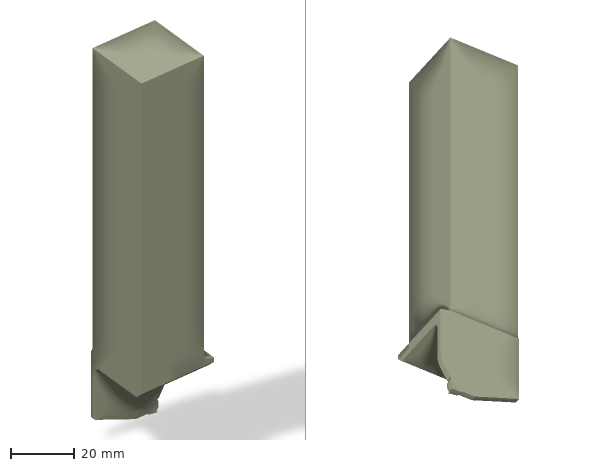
import cadquery as cq
import math

shank_size = 25.0
total_length = 150.0
shank_bottom = 28.0
shank_chamfer = 2.5

tip_overhang = 1.02
tip_flare = 0.25
blade_offset = tip_overhang - tip_flare
blade_thickness = 2.0
blade_inner_x = blade_thickness - blade_offset
root_fillet = 2.5
head_depth = 29.07
ramp_top = 35.0
ramp_radius = 2.5
shoulder_width = 0.9
shoulder_angle = math.radians(15)
nose_radius = 10.0
nose_angle = math.radians(30)
nose_arc_top = 13.8
blade_bottom = 0.9
flat_end_y = 16.4
blade_heel = 7.65

insert_lean = math.radians(18.5)
insert_top = 10.0
rake_corner = (25.05, 4.9)
lip_top = (25.45, 3.5)
lip_bottom = (25.45, 2.0)
groove_bottom = (24.55, 0.6)
cutting_edge = (25.0, 0.0)
relief_end = (21.5, 0.38)
flare_top = 3.0
rake_top_radius = 1.6
back_top_radius = 1.2


def ramp_drop(outward):
    """Height lost along the concave ramp after moving outward from the shank face."""
    return math.sqrt(ramp_radius**2 - (ramp_radius - outward) ** 2)


def ramp_point(face, direction, outward):
    """Point on the ramp arc, as (distance across, height)."""
    return (face + direction * outward, ramp_top - ramp_drop(outward))


def make_side_profile():
    """Outline of the holder across X and Z, run along Y."""
    outline = (
        cq.Workplane("XZ")
        .moveTo(0, total_length)
        .lineTo(0, ramp_top)
        .threePointArc(ramp_point(0, -1, blade_offset / 3), ramp_point(0, -1, blade_offset))
        .lineTo(-blade_offset, 0)
        .lineTo(blade_inner_x, 0)
        .lineTo(blade_inner_x, shank_bottom - root_fillet)
        .radiusArc((blade_inner_x + root_fillet, shank_bottom), root_fillet)
        .lineTo(shank_size - shank_chamfer, shank_bottom)
        .lineTo(shank_size, shank_bottom + shank_chamfer)
        .lineTo(shank_size, total_length)
        .close()
    )
    return outline.extrude(-head_depth)


def make_head_profile():
    """Outline of the holder across Y and Z, run along X."""
    shoulder_start = ramp_point(shank_size, 1, shoulder_width)
    shoulder_run = head_depth - shoulder_start[0]
    shoulder_end_z = shoulder_start[1] - shoulder_run * math.tan(shoulder_angle)

    def nose_point(angle):
        inset = nose_radius * (1 - math.cos(angle))
        return (head_depth - inset, nose_arc_top - nose_radius * math.sin(angle))

    nose_end = nose_point(nose_angle)
    nose_bottom_y = nose_end[0] - (nose_end[1] - blade_bottom) * math.tan(nose_angle)
    outline = (
        cq.Workplane("YZ")
        .moveTo(0, total_length)
        .lineTo(shank_size, total_length)
        .lineTo(shank_size, ramp_top)
        .threePointArc(ramp_point(shank_size, 1, shoulder_width / 3), shoulder_start)
        .lineTo(head_depth, shoulder_end_z)
        .lineTo(head_depth, nose_arc_top)
        .threePointArc(nose_point(nose_angle / 2), nose_end)
        .lineTo(nose_bottom_y, blade_bottom)
        .lineTo(flat_end_y, blade_bottom)
        .lineTo(0, blade_heel)
        .close()
    )
    return outline.extrude(shank_size + blade_offset).translate((-blade_offset, 0, 0))


def leaning_point(start, height):
    """Point at the given height on the leaning line through start."""
    return (start[0] - (height - start[1]) * math.tan(insert_lean), height)


def make_insert_body():
    """Part of the insert as thick as the blade, with its rake edge facing +Y."""
    rake_top = leaning_point(rake_corner, insert_top)
    back_top = leaning_point(relief_end, insert_top)
    rake_edge = [rake_corner, lip_top, lip_bottom, groove_bottom, cutting_edge]
    points = rake_edge + [relief_end, back_top, rake_top]
    body = cq.Workplane("YZ").polyline(points).close().extrude(blade_thickness)

    def top_edge(y):
        return cq.selectors.NearestToPointSelector((blade_thickness / 2, y, insert_top))

    body = body.edges(top_edge(rake_top[0])).fillet(rake_top_radius)
    body = body.edges(top_edge(back_top[0])).fillet(back_top_radius)
    return body.translate((-blade_offset, 0, 0))


def make_flared_tip():
    """Tip of the insert, widening evenly on both sides toward the cutting edge."""
    rise = flare_top - relief_end[1]
    flare_start_top = (relief_end[0] + rise, flare_top)
    lip_flare_top = (lip_top[0], flare_top)
    points = [lip_flare_top, lip_bottom, groove_bottom, cutting_edge, relief_end, flare_start_top]
    tip_width = blade_thickness + 2 * tip_flare
    tip = cq.Workplane("YZ").polyline(points).close().extrude(tip_width)
    tip = tip.translate((-tip_overhang, 0, 0))

    flare_run = (cutting_edge[0] - relief_end[0] + relief_end[1] - cutting_edge[1]) / math.sqrt(2)
    flare_plane = cq.Plane(
        origin=(blade_thickness / 2 - blade_offset, *relief_end),
        xDir=(0, 1, -1),
        normal=(0, 1, 1),
    )
    section = [
        (0, -blade_thickness / 2),
        (flare_run, -tip_width / 2),
        (flare_run, tip_width / 2),
        (0, blade_thickness / 2),
    ]
    wedge = cq.Workplane(flare_plane).polyline(section).close().extrude(head_depth, both=True)
    return tip.intersect(wedge)


def make_rake_clearance():
    """Space cleared from the blade in front of the rake edge of the insert."""
    rake_front = [
        rake_corner,
        (head_depth, rake_corner[1]),
        (head_depth, 0),
        cutting_edge,
        groove_bottom,
        lip_bottom,
        lip_top,
    ]
    front = cq.Workplane("YZ").polyline(rake_front).close().extrude(blade_thickness)
    return front.translate((-blade_offset, 0, 0))


insert_body = make_insert_body()
insert = insert_body.union(make_flared_tip())
holder = make_side_profile().intersect(make_head_profile())
holder = holder.cut(make_rake_clearance()).cut(insert_body)

result = cq.Compound.makeCompound([holder.solids().val(), insert.solids().val()])